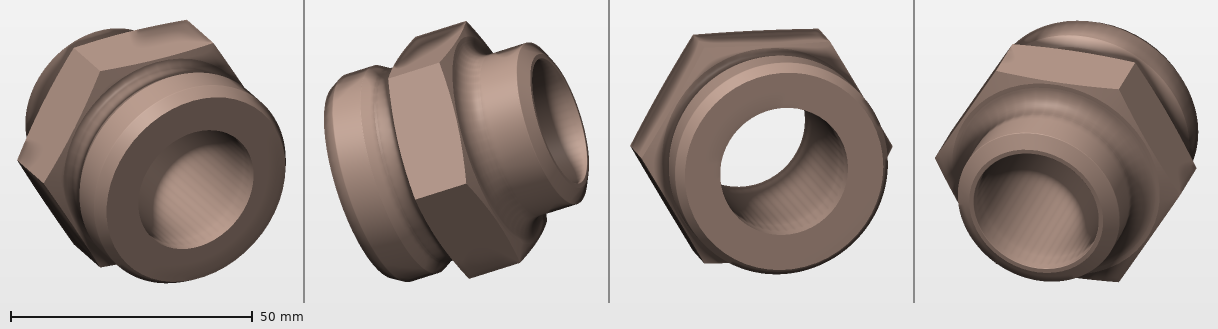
import cadquery as cq
import math

total_length = 44.0
hex_start = 14.05
hex_end = 27.9
collar_start = 35.0
spigot_diameter = 35.0
spigot_tip_diameter = 28.95
groove_diameter = 41.9
collar_diameter = 45.0
bore_diameter = 27.0
hex_across_corners = 53.05
hex_face_diameter = 44.85
hex_chamfer_angle = 15.0
bevel_angle = 30.0
spigot_fillet = 4.0
groove_fillet = 1.3
groove_bend_radius = 0.95
collar_edge_radius = 0.55
small_edge_radius = 0.25
bore_mouth_radius = 0.1

spigot_radius = spigot_diameter / 2
tip_radius = spigot_tip_diameter / 2
groove_radius = groove_diameter / 2
collar_radius = collar_diameter / 2
bevel_slope = math.tan(math.radians(bevel_angle))
tip_bevel_length = (spigot_radius - tip_radius) * bevel_slope
collar_bevel_length = (collar_radius - groove_radius) / bevel_slope


def make_body():
    """Revolve the spigot, both neck fillets, the groove and the collar about X."""
    fillet_cos = math.sqrt(0.5)
    spigot_arc_x = hex_start - spigot_fillet
    spigot_arc_r = spigot_radius + spigot_fillet
    groove_arc_x = hex_end + groove_fillet
    groove_arc_r = groove_radius + groove_fillet
    profile = (
        cq.Workplane("XY")
        .lineTo(0, tip_radius)
        .lineTo(tip_bevel_length, spigot_radius)
        .lineTo(spigot_arc_x, spigot_radius)
        .threePointArc(
            (spigot_arc_x + spigot_fillet * fillet_cos, spigot_arc_r - spigot_fillet * fillet_cos),
            (hex_start, spigot_arc_r),
        )
        .lineTo(hex_end, groove_arc_r)
        .threePointArc(
            (groove_arc_x - groove_fillet * fillet_cos, groove_arc_r - groove_fillet * fillet_cos),
            (groove_arc_x, groove_radius),
        )
        .lineTo(collar_start - collar_bevel_length, groove_radius)
        .lineTo(collar_start, collar_radius)
        .lineTo(total_length - collar_bevel_length, collar_radius)
        .lineTo(total_length, groove_radius)
        .lineTo(total_length, 0)
        .close()
    )
    body = profile.revolve(360, (0, 0, 0), (1, 0, 0))
    body = round_circle(body, collar_start - collar_bevel_length, groove_radius, groove_bend_radius)
    body = round_circle(body, tip_bevel_length, spigot_radius, small_edge_radius)
    body = round_circle(body, collar_start, collar_radius, small_edge_radius)
    return round_circle(body, total_length - collar_bevel_length, collar_radius, collar_edge_radius)


def round_circle(body, x, radius, fillet_radius):
    """Fillet the circular edge with the given radius at station x."""
    margin = 0.05
    low = (x - margin, -radius - margin, -radius - margin)
    high = (x + margin, radius + margin, radius + margin)
    return body.edges(cq.selectors.BoxSelector(low, high, boundingbox=True)).fillet(fillet_radius)


def make_hexagon():
    """Hexagon with corners on the Y axis, both ends chamfered by cones."""
    face_radius = hex_face_diameter / 2
    corner_radius = hex_across_corners / 2
    chamfer_length = (corner_radius - face_radius) * math.tan(math.radians(hex_chamfer_angle))
    prism = (
        cq.Workplane("YZ", origin=(hex_start, 0, 0))
        .polygon(6, hex_across_corners)
        .extrude(hex_end - hex_start)
    )
    envelope = (
        cq.Workplane("XY")
        .moveTo(hex_start, 0)
        .lineTo(hex_start, face_radius)
        .lineTo(hex_start + chamfer_length, corner_radius)
        .lineTo(hex_end - chamfer_length, corner_radius)
        .lineTo(hex_end, face_radius)
        .lineTo(hex_end, 0)
        .close()
        .revolve(360, (0, 0, 0), (1, 0, 0))
    )
    return prism.intersect(envelope)


bore = cq.Workplane("YZ").circle(bore_diameter / 2).extrude(total_length)
part = make_body().union(make_hexagon()).cut(bore)
result = round_circle(part, 0, bore_diameter / 2, bore_mouth_radius)